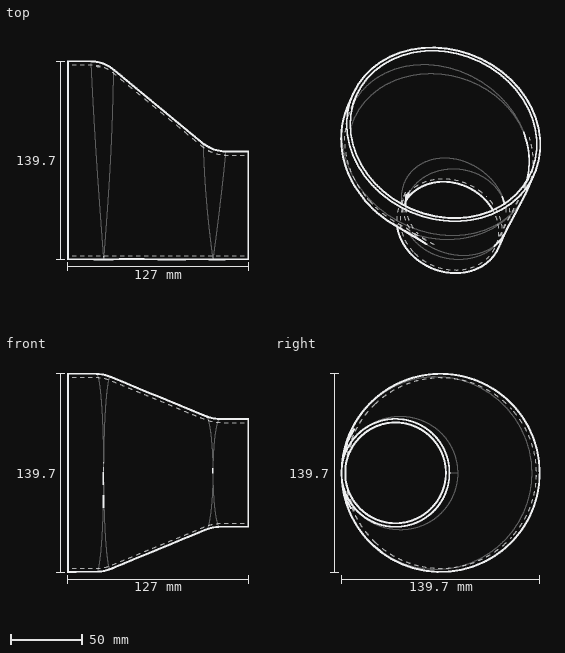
import cadquery as cq

LENGTH = 127.0
COLLAR_LENGTH = 25.0
LARGE_DIAMETER = 139.7
SMALL_DIAMETER = 76.1
LARGE_BORE = 134.5
BLEND_RADIUS = 25.0
STRAIGHT_LINE_LEAN = 0.01

WALL = (LARGE_DIAMETER - LARGE_BORE) / 2
ECCENTRICITY = (LARGE_DIAMETER - SMALL_DIAMETER) / 2 - STRAIGHT_LINE_LEAN
CONE_END = LENGTH - COLLAR_LENGTH
CORNER_REACH = 1.0


def circle_at(x, y, diameter):
    """Circle in the YZ plane at the given X, centred at the given Y."""
    return cq.Workplane("YZ", origin=(x, y, 0)).circle(diameter / 2)


def corner_at(x):
    """Selector for the circular edge where a collar meets the cone at the given X."""
    return cq.selectors.BoxSelector(
        (x - CORNER_REACH, -LARGE_DIAMETER, -LARGE_DIAMETER),
        (x + CORNER_REACH, LARGE_DIAMETER, LARGE_DIAMETER),
    )


def reducer_body(inset, large_blend, small_blend):
    """Solid reducer shape, shrunk radially by inset, with both corners rounded."""
    large = LARGE_DIAMETER - 2 * inset
    small = SMALL_DIAMETER - 2 * inset

    large_collar = circle_at(0, 0, large).extrude(COLLAR_LENGTH)
    small_collar = circle_at(CONE_END, -ECCENTRICITY, small).extrude(COLLAR_LENGTH)
    cone = (
        circle_at(COLLAR_LENGTH, 0, large)
        .workplane(offset=CONE_END - COLLAR_LENGTH)
        .center(-ECCENTRICITY, 0)
        .circle(small / 2)
        .loft(ruled=True)
    )
    body = large_collar.union(cone).union(small_collar)
    body = body.edges(corner_at(COLLAR_LENGTH)).fillet(large_blend)
    return body.edges(corner_at(CONE_END)).fillet(small_blend)


outer = reducer_body(0, BLEND_RADIUS, BLEND_RADIUS)
inner = reducer_body(WALL, BLEND_RADIUS - WALL, BLEND_RADIUS + WALL)
result = outer.cut(inner)